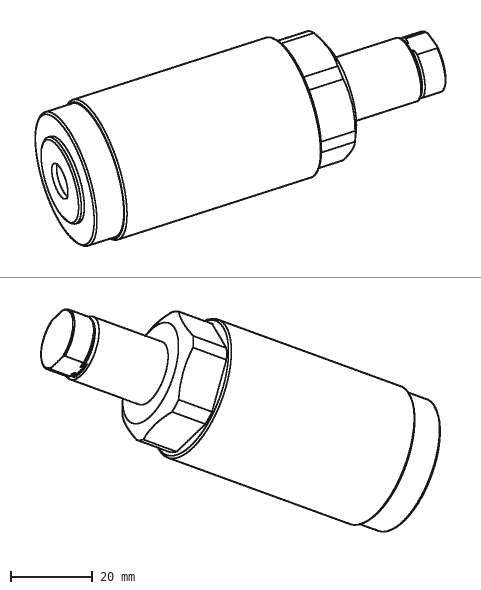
import cadquery as cq
import math

overall_length = 101
collar_front = 1.3
barrel_front = 9.1
hex_front = 62.5
hex_back = 74.1
flats_front = 94.3
shoulder_back = 94.6
tail_front = 95.2

barrel_radius = 18.0
collar_radius = 17.2
boss_radius = 11.1
edge_chamfer = 0.5
socket_radius = 4.5
socket_depth = 1.3
hex_across_flats = 30.3
hex_corner_radius = 16.6
hex_face_radius = 13.0
hex_chamfer_angle = 30

rod_radius = 8.2
neck_edge_radius = 7.5
neck_radius = 7.2
tail_radius = 7.8
tail_across_flats = 14.1
shoulder_chamfer = rod_radius - neck_edge_radius
tail_chamfer = 0.3


def disc(radius, start, end):
    """Cylinder about the Y axis from start to end."""
    return cq.Workplane("XZ", origin=(0, start, 0)).circle(radius).extrude(start - end)


def make_hex():
    """Hexagon with turned corners and a conical chamfer on its back face."""
    across_corners = hex_across_flats / math.cos(math.radians(30))
    prism = (
        cq.Workplane("XZ", origin=(0, hex_front, 0))
        .polygon(6, across_corners)
        .extrude(hex_front - hex_back)
    )
    chamfer_length = (hex_corner_radius - hex_face_radius) * math.tan(math.radians(hex_chamfer_angle))
    envelope = (
        cq.Workplane("XY")
        .moveTo(0, hex_front)
        .lineTo(hex_corner_radius, hex_front)
        .lineTo(hex_corner_radius, hex_back - chamfer_length)
        .lineTo(hex_face_radius, hex_back)
        .lineTo(0, hex_back)
        .close()
        .revolve(360, (0, 0, 0), (0, 1, 0))
    )
    return prism.intersect(envelope)


def make_housing():
    """Barrel with a front collar, a socketed boss and a rear hexagon."""
    boss = disc(boss_radius, 0, collar_front).faces("<Y").chamfer(edge_chamfer)
    collar = disc(collar_radius, collar_front, barrel_front).faces("<Y").chamfer(edge_chamfer)
    barrel = disc(barrel_radius, barrel_front, hex_front).edges().chamfer(edge_chamfer)
    socket = disc(socket_radius, 0, socket_depth)
    return barrel.union(collar).union(boss).union(make_hex()).cut(socket)


def make_neck():
    """Short neck with a concave rounded groove all round."""
    middle = (shoulder_back + tail_front) / 2
    return (
        cq.Workplane("XY")
        .moveTo(0, shoulder_back)
        .lineTo(neck_edge_radius, shoulder_back)
        .threePointArc((neck_radius, middle), (neck_edge_radius, tail_front))
        .lineTo(0, tail_front)
        .close()
        .revolve(360, (0, 0, 0), (0, 1, 0))
    )


def cut_wrench_flats(body):
    """Cut two flats, above and below, from the end of the rod into its shoulder."""
    flats_length = overall_length - flats_front
    flat_depth = rod_radius - tail_across_flats / 2
    for side in (-1, 1):
        center = (0, flats_front + flats_length / 2, side * (tail_across_flats + flat_depth) / 2)
        body = body.cut(cq.Workplane("XY", origin=center).box(2 * rod_radius, flats_length, flat_depth))
    return body


def make_rod():
    """Rod seated on the hexagon, with a grooved neck and a tail that has two wrench flats."""
    shank = disc(rod_radius, hex_back, shoulder_back).faces(">Y").chamfer(shoulder_chamfer)
    tail = disc(tail_radius, tail_front, overall_length).faces(">Y").chamfer(tail_chamfer)
    return cut_wrench_flats(shank.union(make_neck()).union(tail))


housing = make_housing()
rod = make_rod()
result = cq.Compound.makeCompound([housing.val(), rod.val()])